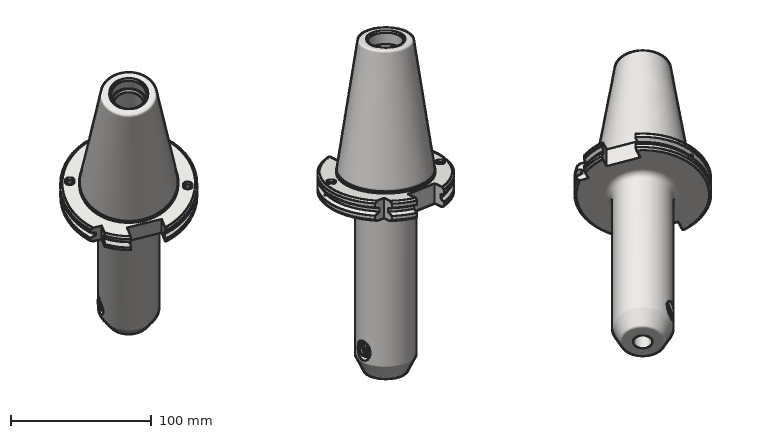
import cadquery as cq
import math


total_length = 261.8
taper_length = 101.8
nose_z = taper_length - total_length

gauge_radius = 34.8
taper_ratio = 7 / 24
taper_tip_radius = gauge_radius - taper_length * taper_ratio / 2
tip_fillet = 1.8

collar_radius = 35.3
collar_top_z = -1.5
collar_chamfer_z = -2.5

flange_radius = 48.7
flange_top_z = -3.1
flange_thickness = 16.0
flange_bottom_z = flange_top_z - flange_thickness
flange_chamfer = 1.5
groove_z = flange_top_z - flange_thickness / 2
groove_floor_radius = 45.5
groove_floor_width = 2.5
groove_mouth_width = 6.5

shank_radius = 22.0
neck_fillet = 4.7
nose_cone_height = 13.0
nose_radius = 15.7
nose_fillet = 1.8
shoulder_fillet = 1.5

tool_bore_radius = 6.8
drawbar_bore_radius = 12.5
drawbar_bore_depth = 10.2
drawbar_mouth_chamfer = 1.3
ledge_inner_radius = 12.0
thread_chamfer_height = 2.4
thread_radius = 10.7
thread_length = 26.2
drill_point_angle = 118

slot_width = 25.7
slot_floor_minus_x = 36.0
slot_floor_plus_x = 37.5
notch_x = 30.4
notch_y = -29.5

port_angles = (70, 250)
port_circle_radius = 42.0
port_radius = 2.0
port_mouth_radius = 3.5

screw_z = nose_z + 22.5
screw_hole_radius = 5.5
screw_mouth_radius = 7.5
screw_hole_depth = 3.1
screw_tip_radius = 4.0
screw_tip_y = -shank_radius
socket_radius = 3.1
socket_depth = 2.5


def circle_near(radius, z):
    """Selector for the circular edge of the given radius at height z, found from a box around it."""
    margin = 0.3
    reach = radius + margin
    low_corner = (-reach, -reach, z - margin)
    high_corner = (reach, reach, z + margin)
    return cq.selectors.BoxSelector(low_corner, high_corner, boundingbox=True)


def turned_body():
    """Solid of revolution: taper, grooved flange, shank and nose."""
    groove_floor_half = groove_floor_width / 2
    groove_mouth_half = groove_mouth_width / 2
    chamfered_radius = flange_radius - flange_chamfer
    profile = (
        cq.Workplane("XZ")
        .moveTo(0, nose_z)
        .lineTo(nose_radius, nose_z)
        .lineTo(shank_radius, nose_z + nose_cone_height)
        .lineTo(shank_radius, flange_bottom_z)
        .lineTo(chamfered_radius, flange_bottom_z)
        .lineTo(flange_radius, flange_bottom_z + flange_chamfer)
        .lineTo(flange_radius, groove_z - groove_mouth_half)
        .lineTo(groove_floor_radius, groove_z - groove_floor_half)
        .lineTo(groove_floor_radius, groove_z + groove_floor_half)
        .lineTo(flange_radius, groove_z + groove_mouth_half)
        .lineTo(flange_radius, flange_top_z - flange_chamfer)
        .lineTo(chamfered_radius, flange_top_z)
        .lineTo(collar_radius, flange_top_z)
        .lineTo(collar_radius, collar_chamfer_z)
        .lineTo(gauge_radius, collar_top_z)
        .lineTo(gauge_radius, 0)
        .lineTo(taper_tip_radius, taper_length)
        .lineTo(0, taper_length)
        .close()
    )
    body = profile.revolve(360, (0, 0, 0), (0, 1, 0))
    body = body.faces(">Z").edges().fillet(tip_fillet)
    body = body.faces("<Z").edges().fillet(nose_fillet)
    shoulder_z = nose_z + nose_cone_height
    body = body.edges(circle_near(shank_radius, shoulder_z)).fillet(shoulder_fillet)
    return body.edges(circle_near(shank_radius, flange_bottom_z)).fillet(neck_fillet)


def central_bore():
    """Through bore for the tool, opened at the top for the drawbar."""
    ledge_z = taper_length - drawbar_bore_depth
    thread_top_z = ledge_z - thread_chamfer_height
    thread_end_z = thread_top_z - thread_length
    drill_half_angle = math.radians(drill_point_angle / 2)
    drill_point_height = (thread_radius - tool_bore_radius) / math.tan(drill_half_angle)
    mouth_radius = drawbar_bore_radius + drawbar_mouth_chamfer
    outline = [
        (0, nose_z),
        (tool_bore_radius, nose_z),
        (tool_bore_radius, thread_end_z - drill_point_height),
        (thread_radius, thread_end_z),
        (thread_radius, thread_top_z),
        (ledge_inner_radius, ledge_z),
        (drawbar_bore_radius, ledge_z),
        (drawbar_bore_radius, taper_length - drawbar_mouth_chamfer),
        (mouth_radius, taper_length),
        (0, taper_length),
    ]
    return cq.Workplane("XZ").polyline(outline).close().revolve(360, (0, 0, 0), (0, 1, 0))


def flange_cut(x_min, x_max, y_min, y_max):
    """Block that cuts through the whole flange thickness."""
    return (
        cq.Workplane("XY", origin=(0, 0, flange_bottom_z))
        .moveTo(x_min, y_min)
        .lineTo(x_max, y_min)
        .lineTo(x_max, y_max)
        .lineTo(x_min, y_max)
        .close()
        .extrude(flange_thickness)
    )


def coolant_port(angle):
    """Countersunk axial hole down to the groove, and the radial hole that meets it."""
    countersink = port_mouth_radius - port_radius
    port = cq.Solid.makeCylinder(
        port_radius, flange_top_z - groove_z, cq.Vector(port_circle_radius, 0, groove_z)
    )
    mouth = cq.Solid.makeCone(
        port_radius, port_mouth_radius, countersink,
        cq.Vector(port_circle_radius, 0, flange_top_z - countersink),
    )
    radial = cq.Solid.makeCylinder(
        port_radius, flange_radius - port_circle_radius,
        cq.Vector(port_circle_radius, 0, groove_z), cq.Vector(1, 0, 0),
    )
    return cq.Workplane(port.fuse(mouth, radial)).rotate((0, 0, 0), (0, 0, 1), angle)


def along_y(radius, y_start, y_end):
    """Cylinder at the screw height, running along Y between two places."""
    direction = cq.Vector(0, math.copysign(1, y_end - y_start), 0)
    start = cq.Vector(0, y_start, screw_z)
    return cq.Workplane(cq.Solid.makeCylinder(radius, abs(y_end - y_start), start, direction))


def screw_hole(side):
    """Countersunk blind hole on the +Y (side = 1) or -Y (side = -1) side of the shank."""
    countersink = screw_mouth_radius - screw_hole_radius
    mouth = cq.Solid.makeCone(
        screw_hole_radius, screw_mouth_radius, countersink,
        cq.Vector(0, side * (shank_radius - countersink), screw_z), cq.Vector(0, side, 0),
    )
    hole = along_y(screw_hole_radius, side * (shank_radius - screw_hole_depth), side * shank_radius)
    return hole.union(cq.Workplane(mouth))


def clamping_screw():
    """Screw end standing flush in the -Y hole, with its socket."""
    hole_floor_y = screw_hole_depth - shank_radius
    shaft = along_y(screw_tip_radius, hole_floor_y, screw_tip_y)
    socket = along_y(socket_radius, screw_tip_y + socket_depth, screw_tip_y)
    return shaft.cut(socket)


result = turned_body().cut(central_bore())

half_slot = slot_width / 2
result = result.cut(flange_cut(-flange_radius, -slot_floor_minus_x, -half_slot, half_slot))
result = result.cut(flange_cut(slot_floor_plus_x, flange_radius, -half_slot, half_slot))
result = result.cut(flange_cut(notch_x, flange_radius, -flange_radius, notch_y))

for port_angle in port_angles:
    result = result.cut(coolant_port(port_angle))

for side in (-1, 1):
    result = result.cut(screw_hole(side))
result = result.union(clamping_screw())